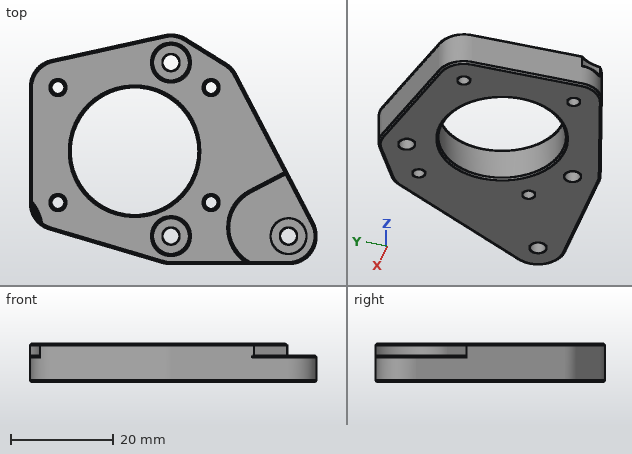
import cadquery as cq
import math

length = 56.15
thickness = 7.5
edge_chamfer = 0.4
chamfer_angle = 45
corner_radius = 5.5

bore_diameter = 25.0
bore_center = (20.5, 22.15)
screw_hole_diameter = 2.5
screw_spacing_x = 30.0
screw_spacing_y = 22.5
screw_left_x = corner_radius
screw_right_x = screw_left_x + screw_spacing_x
screw_low_y = 12.1
screw_high_y = screw_low_y + screw_spacing_y

mount_hole_diameter = 3.3
counterbore_diameter = 7.0
counterbore_floor = 2.8
mount_spacing = 34.0
mount_x = 27.65
mount_low_y = corner_radius
mount_high_y = mount_low_y + mount_spacing
ear_x = length - corner_radius

ledge_floor = 5.15
step_radius = 7.75
step_center = (46.8, 7.2)
step_reach = 22.45
notch_radius = 8.3
notch_center = (-6.2, 6.5)

bore_points = [bore_center]
screw_points = [(x, y) for x in (screw_left_x, screw_right_x) for y in (screw_low_y, screw_high_y)]
mount_points = [(mount_x, mount_low_y), (mount_x, mount_high_y)]
ear_points = [(ear_x, mount_low_y)]

outline_centers = [
    (screw_left_x, screw_low_y),
    (mount_x, mount_low_y),
    (ear_x, mount_low_y),
    (screw_right_x, screw_high_y),
    (mount_x, mount_high_y),
    (screw_left_x, screw_high_y),
]


def plate_slab(height):
    """Full outline standing on the base plane, chamfered along both rims."""
    slab = cq.Workplane("XY").polyline(outline_centers).close().offset2D(corner_radius).extrude(height)
    return slab.faces("<Z or >Z").edges().chamfer(edge_chamfer)


def circles(points, diameter, z):
    return cq.Workplane("XY").workplane(offset=z).pushPoints(points).circle(diameter / 2)


def step_profile(z):
    """Ear region: an arc around the step centre, then a line square to the plate's long slanted side."""
    side_angle = math.atan2(screw_high_y - mount_low_y, screw_right_x - ear_x)
    normal = (math.cos(side_angle), math.sin(side_angle))
    along = (normal[1], -normal[0])
    center_x, center_y = step_center
    tangent = (center_x + step_radius * normal[0], center_y + step_radius * normal[1])
    far_end = (tangent[0] + step_reach * along[0], tangent[1] + step_reach * along[1])
    low_y = center_y - step_radius
    return (
        cq.Workplane("XY").workplane(offset=z)
        .moveTo(*tangent)
        .lineTo(*far_end)
        .lineTo(far_end[0], low_y)
        .lineTo(center_x, low_y)
        .threePointArc((center_x - step_radius, center_y), tangent)
        .close()
    )


def notch_profile(z):
    return circles([notch_center], 2 * notch_radius, z)


def flared_cutter(profile, floor):
    """Straight cutter from floor to the top face, widening at the top to chamfer the rim."""
    straight = profile(floor).extrude(thickness - floor)
    flare = profile(thickness - edge_chamfer).extrude(edge_chamfer, taper=-chamfer_angle)
    return straight.union(flare)


def cut_chamfered_holes(body, points, diameter, floor):
    return body.cut(flared_cutter(lambda z: circles(points, diameter, z), floor))


lower_slab = plate_slab(ledge_floor)
result = plate_slab(thickness)
for profile in (step_profile, notch_profile):
    ledge_cutter = flared_cutter(profile, ledge_floor - edge_chamfer)
    result = result.cut(ledge_cutter.cut(lower_slab))

result = cut_chamfered_holes(result, bore_points, bore_diameter, 0)
lower_mouth_diameter = bore_diameter + 2 * edge_chamfer
result = result.cut(circles(bore_points, lower_mouth_diameter, 0).extrude(edge_chamfer, taper=chamfer_angle))
result = cut_chamfered_holes(result, screw_points, screw_hole_diameter, 0)

result = cut_chamfered_holes(result, mount_points, counterbore_diameter, counterbore_floor)
result = result.cut(circles(ear_points, counterbore_diameter, counterbore_floor).extrude(thickness))
result = result.cut(circles(mount_points + ear_points, mount_hole_diameter, 0).extrude(thickness))